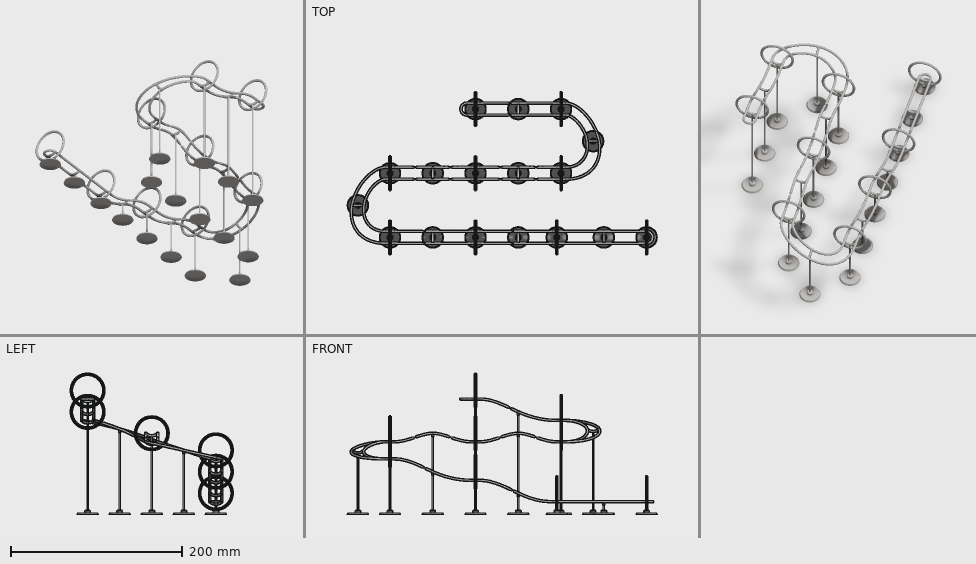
import cadquery as cq
import math

RAIL_DIAMETER = 3.0
POLE_DIAMETER = 2.0
SADDLE_DIAMETER = 3.0

RING_WIDTH = 3.0
RING_INNER_DIAMETER = 35.0
RING_OUTER_DIAMETER = 41.0
RING_CHAMFER = 1.0

BASE_DIAMETER = 25.0
BASE_TOP_DIAMETER = 23.0
BASE_THICKNESS = 2.0
HUB_DIAMETER = 7.0
HUB_TOP = 5.0
HUB_CHAMFER = 1.0

RAIL_OFFSET = 7.0
SADDLE_SAG = 3.0
STATION_HALF_LENGTH = 5.0
RING_RISE = 10.0
ROW_PITCH = 75.0
TURN_REACH = 37.5
START_STRAIGHT = 10.0

ROW_1 = 0.0
ROW_2 = ROW_1 + ROW_PITCH
ROW_3 = ROW_2 + ROW_PITCH

UPPER_START = (100.0, ROW_3, 135.0)
UPPER_END = (200.0, ROW_3, 110.0)
MIDDLE_START = (200.0, ROW_2, 85.0)
MIDDLE_CENTRE = (100.0, ROW_2, 85.0)
MIDDLE_END = (0.0, ROW_2, 85.0)
LOWER_START = (0.0, ROW_1, 65.0)
LOWER_CENTRE = (100.0, ROW_1, 40.0)
LOWER_END = (195.0, ROW_1, 15.0)
FINISH = (300.0, ROW_1, 15.0)
STATIONS = [
    UPPER_START, UPPER_END, MIDDLE_START, MIDDLE_CENTRE, MIDDLE_END,
    LOWER_START, LOWER_CENTRE, LOWER_END, FINISH,
]

UPPER_DROP = (150.0, ROW_3, 120.0)
RIGHT_HILL = (150.0, ROW_2, 95.0)
LEFT_HILL = (50.0, ROW_2, 95.0)
FIRST_LOWER_DROP = (50.0, ROW_1, 50.0)
SECOND_LOWER_DROP = (150.0, ROW_1, 25.0)
RUN_OUT = (250.0, ROW_1, 15.0)
ROW_SUPPORTS = [UPPER_DROP, RIGHT_HILL, LEFT_HILL, FIRST_LOWER_DROP, SECOND_LOWER_DROP, RUN_OUT]

RIGHT_TURN = (UPPER_END[0] + TURN_REACH, (ROW_2 + ROW_3) / 2, 100.0)
LEFT_TURN = (LOWER_START[0] - TURN_REACH, (ROW_1 + ROW_2) / 2, 75.0)

TURN_ENTRY_PULL = {"outer": 48.0, "inner": 31.0}
TURN_EXIT_PULL = {"outer": 95.0, "inner": 59.0}


def shifted(point, dx=0.0, dy=0.0, dz=0.0):
    return cq.Vector(point[0] + dx, point[1] + dy, point[2] + dz)


def tube(path, diameter):
    """Solid round bar along an edge."""
    start = path.startPoint()
    plane = cq.Plane(origin=start, normal=path.tangentAt(0))
    section = cq.Workplane(plane).circle(diameter / 2)
    return section.sweep(cq.Workplane(obj=path), isFrenet=True).val()


def row_rails(start, middle, end):
    """Both rails between two stations of a row, over one support."""
    direction = math.copysign(1.0, end[0] - start[0])
    ease = direction * STATION_HALF_LENGTH
    level_tangent = cq.Vector((end[0] - start[0]) / 2, 0, 0)
    bars = []
    for side in (-RAIL_OFFSET, RAIL_OFFSET):
        points = [shifted(start, ease, side), shifted(middle, 0, side), shifted(end, -ease, side)]
        tangents = [level_tangent, level_tangent]
        path = cq.Edge.makeSpline(points, tangents=tangents, parameters=[0, 1, 2], scale=False)
        bars.append(tube(path, RAIL_DIAMETER))
    return bars


def turn_rails(start, middle, end):
    """Both rails of a U-turn bulging along X from one row to the next one down."""
    direction = math.copysign(1.0, middle[0] - start[0])
    ease = direction * STATION_HALF_LENGTH
    bars = []
    for name, side in (("outer", RAIL_OFFSET), ("inner", -RAIL_OFFSET)):
        points = [
            shifted(start, ease, side),
            shifted(middle, direction * side),
            shifted(end, ease, -side),
        ]
        tangents = [
            cq.Vector(direction * TURN_ENTRY_PULL[name], 0, 0),
            cq.Vector(-direction * TURN_EXIT_PULL[name], 0, 0),
        ]
        path = cq.Edge.makeSpline(points, tangents=tangents, parameters=[0, 1, 2], scale=False)
        bars.append(tube(path, RAIL_DIAMETER))
    return bars


def straight_rails(station, back, ahead):
    """Both rails along X, reaching from `back` before a station to `ahead` after it."""
    bars = []
    for side in (-RAIL_OFFSET, RAIL_OFFSET):
        path = cq.Edge.makeLine(shifted(station, -back, side), shifted(station, ahead, side))
        bars.append(tube(path, RAIL_DIAMETER))
    return bars


def end_loop(centre, direction):
    """Half circle that joins the two rails at an end of the track."""
    path = cq.Edge.makeThreePointArc(
        shifted(centre, 0, -RAIL_OFFSET),
        shifted(centre, direction * RAIL_OFFSET),
        shifted(centre, 0, RAIL_OFFSET),
    )
    return tube(path, RAIL_DIAMETER)


def saddle(point, along_x):
    """Sagging tie from one rail to the other."""
    dx, dy = (RAIL_OFFSET, 0.0) if along_x else (0.0, RAIL_OFFSET)
    path = cq.Edge.makeThreePointArc(
        shifted(point, -dx, -dy), shifted(point, dz=-SADDLE_SAG), shifted(point, dx, dy)
    )
    return tube(path, SADDLE_DIAMETER)


def foot_and_pole(point):
    """Tapered base disc, chamfered hub and pole up to the saddle."""
    height = point[2] - SADDLE_SAG
    disc = cq.Solid.makeCone(BASE_DIAMETER / 2, BASE_TOP_DIAMETER / 2, BASE_THICKNESS)
    hub = cq.Workplane("XY").circle(HUB_DIAMETER / 2).extrude(HUB_TOP)
    body = hub.faces(">Z").chamfer(HUB_CHAMFER).union(cq.Workplane(obj=disc))
    body = body.union(cq.Workplane("XY").circle(POLE_DIAMETER / 2).extrude(height))
    return body.val().translate(cq.Vector(point[0], point[1], 0))


def ring(station):
    """Upright chamfered hoop around the track."""
    centre = shifted(station, -RING_WIDTH / 2, dz=RING_RISE)
    plane = cq.Plane(origin=centre, xDir=(0, 1, 0), normal=(1, 0, 0))
    hoop = cq.Workplane(plane).circle(RING_OUTER_DIAMETER / 2).circle(RING_INNER_DIAMETER / 2)
    return hoop.extrude(RING_WIDTH).edges().chamfer(RING_CHAMFER).val()


def build_rails():
    half = STATION_HALF_LENGTH
    bars = [end_loop(shifted(UPPER_START, -START_STRAIGHT).toTuple(), -1)]
    bars += straight_rails(UPPER_START, START_STRAIGHT, half)
    bars += row_rails(UPPER_START, UPPER_DROP, UPPER_END)
    bars += turn_rails(UPPER_END, RIGHT_TURN, MIDDLE_START)
    bars += row_rails(MIDDLE_START, RIGHT_HILL, MIDDLE_CENTRE)
    bars += row_rails(MIDDLE_CENTRE, LEFT_HILL, MIDDLE_END)
    bars += turn_rails(MIDDLE_END, LEFT_TURN, LOWER_START)
    bars += row_rails(LOWER_START, FIRST_LOWER_DROP, LOWER_CENTRE)
    bars += row_rails(LOWER_CENTRE, SECOND_LOWER_DROP, LOWER_END)
    for station in (UPPER_END, MIDDLE_START, MIDDLE_CENTRE, MIDDLE_END, LOWER_START, LOWER_CENTRE):
        bars += straight_rails(station, half, half)
    bars += straight_rails(LOWER_END, half, FINISH[0] - LOWER_END[0])
    bars.append(end_loop(FINISH, 1))
    return bars


def build_supports():
    bodies = [ring(station) for station in STATIONS]
    for point in STATIONS + ROW_SUPPORTS:
        bodies.append(saddle(point, along_x=False))
        bodies.append(foot_and_pole(point))
    for point in (RIGHT_TURN, LEFT_TURN):
        bodies.append(saddle(point, along_x=True))
        bodies.append(foot_and_pole(point))
    return bodies


bodies = build_rails() + build_supports()
result = cq.Workplane(obj=bodies[0].fuse(*bodies[1:]))